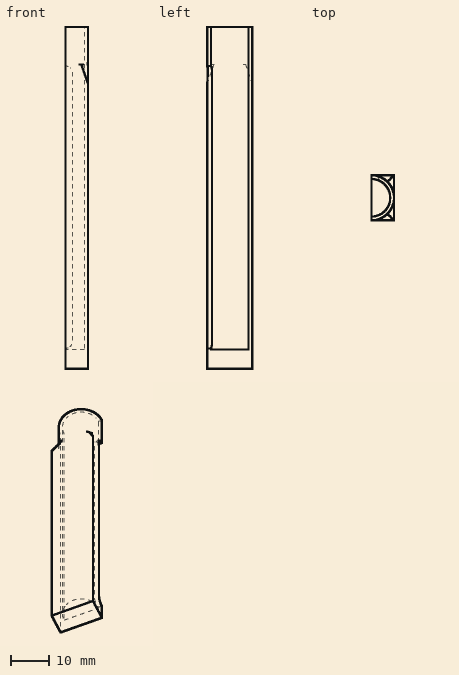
import cadquery as cq
import math

length = 90.0
outer_radius = 5.9
bore_radius = 4.95
base_height = 5.0
collar_height = 10.0
transition_height = 5.0
relief_depth = 1.8
relief_end_gap = 0.4
relief_corner_radius = 1.7

width = 2 * outer_radius
collar_bottom = length - collar_height
transition_bottom = collar_bottom - transition_height


def half_disc(radius, bottom, height):
    """Half cylinder on the +X side of the YZ plane."""
    return (
        cq.Workplane("XY", origin=(0, 0, bottom))
        .moveTo(0, -radius)
        .threePointArc((radius, 0), (0, radius))
        .close()
        .extrude(height)
    )


def transition():
    """Ruled blend from the rectangular body to the half-round collar."""
    diagonal = outer_radius * math.cos(math.pi / 4)
    mid_short = outer_radius * math.sin(math.pi / 8)
    mid_long = outer_radius * math.cos(math.pi / 8)
    return (
        cq.Workplane("XY", origin=(0, 0, transition_bottom))
        .moveTo(0, -outer_radius)
        .lineTo(outer_radius, -outer_radius)
        .lineTo(outer_radius, outer_radius)
        .lineTo(0, outer_radius)
        .close()
        .workplane(offset=transition_height)
        .moveTo(0, -outer_radius)
        .threePointArc((mid_short, -mid_long), (diagonal, -diagonal))
        .threePointArc((outer_radius, 0), (diagonal, diagonal))
        .threePointArc((mid_short, mid_long), (0, outer_radius))
        .close()
        .loft(ruled=True, combine=True)
    )


def side_relief():
    """Shallow recess in the +Y rim, with rounded inner corners at both ends."""
    bottom = base_height + relief_end_gap
    top = collar_bottom - relief_end_gap
    return (
        cq.Workplane("XY")
        .box(relief_depth, outer_radius, top - bottom, centered=False)
        .edges("|Y and >X")
        .fillet(relief_corner_radius)
        .translate((0, 0, bottom))
    )


body = cq.Workplane("XY").box(outer_radius, width, transition_bottom, centered=(False, True, False))
collar = half_disc(outer_radius, collar_bottom, collar_height)
blank = body.union(transition()).union(collar)

channel = half_disc(bore_radius, base_height, length - base_height)

result = blank.cut(channel).cut(side_relief())